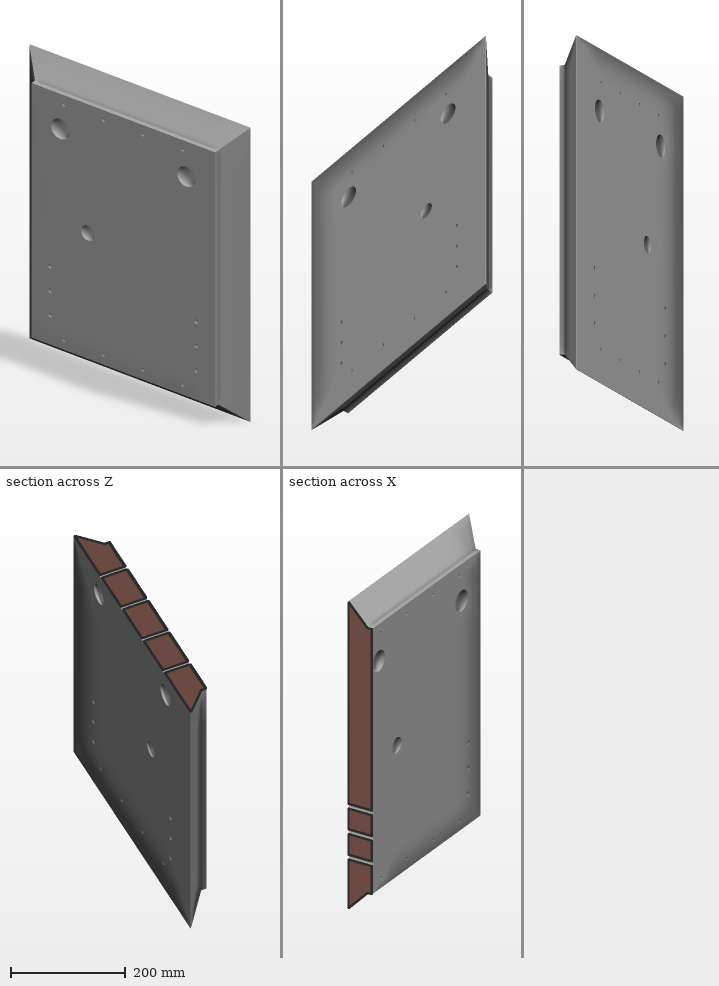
import cadquery as cq

WIDTH = 475.0
HEIGHT = 600.0
DEPTH = 50.0

BEVEL_INSET = 40.0
FACE_WIDTH = WIDTH - 2 * BEVEL_INSET
FACE_HEIGHT = HEIGHT - 2 * BEVEL_INSET
SLAB_THICKNESS = 9.0

SHEET_THICKNESS = 1.0
BEVEL_DEPTH = DEPTH - SLAB_THICKNESS - 2 * SHEET_THICKNESS

BACK_SHEET_Y = DEPTH / 2
BEVEL_Y = BACK_SHEET_Y - SHEET_THICKNESS
SLAB_Y = BEVEL_Y - BEVEL_DEPTH
FRONT_SHEET_Y = SLAB_Y - SLAB_THICKNESS

EDGE_HOLE_DIAMETER = 6.5
EDGE_HOLE_COUNT = 4
EDGE_HOLE_PITCH = 85.0
EDGE_ROW_Z = 240.0

SIDE_HOLE_DIAMETER = 8.5
SIDE_HOLE_COUNT = 3
SIDE_HOLE_PITCH = 50.0
SIDE_COLUMN_X = 157.0
SIDE_COLUMN_CENTER_Z = -150.0

LARGE_HOLE_DIAMETER = 40.0
LARGE_HOLE_X = 135.5
LARGE_HOLE_Z = 188.0

MIDDLE_HOLE_DIAMETER = 30.0
MIDDLE_HOLE_X = -76.0
MIDDLE_HOLE_Z = -3.0


def plane_at(y):
    """XZ workplane at depth y, whose normal points to the front (-Y)."""
    return cq.Workplane("XZ", origin=(0, y, 0))


def centered_positions(count, pitch):
    """Evenly pitched positions centred on zero."""
    return [(i - (count - 1) / 2) * pitch for i in range(count)]


def make_hole_cutters():
    """Cylinders for all the holes, long enough to pass through every layer."""
    edge_points = [
        (x, z)
        for x in centered_positions(EDGE_HOLE_COUNT, EDGE_HOLE_PITCH)
        for z in (-EDGE_ROW_Z, EDGE_ROW_Z)
    ]
    side_points = [
        (x, SIDE_COLUMN_CENTER_Z + dz)
        for x in (-SIDE_COLUMN_X, SIDE_COLUMN_X)
        for dz in centered_positions(SIDE_HOLE_COUNT, SIDE_HOLE_PITCH)
    ]
    large_points = [(x, LARGE_HOLE_Z) for x in (-LARGE_HOLE_X, LARGE_HOLE_X)]
    middle_points = [(MIDDLE_HOLE_X, MIDDLE_HOLE_Z)]

    cutters = cq.Workplane("XZ")
    for points, diameter in (
        (edge_points, EDGE_HOLE_DIAMETER),
        (side_points, SIDE_HOLE_DIAMETER),
        (large_points, LARGE_HOLE_DIAMETER),
        (middle_points, MIDDLE_HOLE_DIAMETER),
    ):
        cylinders = plane_at(0).pushPoints(points).circle(diameter / 2).extrude(DEPTH, both=True)
        cutters = cutters.add(cylinders)
    return cutters.combine()


def make_layer(back_y, width, height, thickness):
    """Flat rectangular layer reaching forward from back_y."""
    return plane_at(back_y).rect(width, height).extrude(thickness)


def make_core():
    """Block with four sides sloping inward to the front, continued by the slab."""
    bevel = (
        plane_at(BEVEL_Y)
        .rect(WIDTH, HEIGHT)
        .workplane(offset=BEVEL_DEPTH)
        .rect(FACE_WIDTH, FACE_HEIGHT)
        .loft(ruled=True)
    )
    slab = make_layer(SLAB_Y, FACE_WIDTH, FACE_HEIGHT, SLAB_THICKNESS)
    return bevel.union(slab)


hole_cutters = make_hole_cutters()
back_sheet = make_layer(BACK_SHEET_Y, WIDTH, HEIGHT, SHEET_THICKNESS).cut(hole_cutters)
core = make_core().cut(hole_cutters)
front_sheet = make_layer(FRONT_SHEET_Y, FACE_WIDTH, FACE_HEIGHT, SHEET_THICKNESS).cut(hole_cutters)

result = cq.Compound.makeCompound([*back_sheet.solids().vals(), *core.solids().vals(), *front_sheet.solids().vals()])